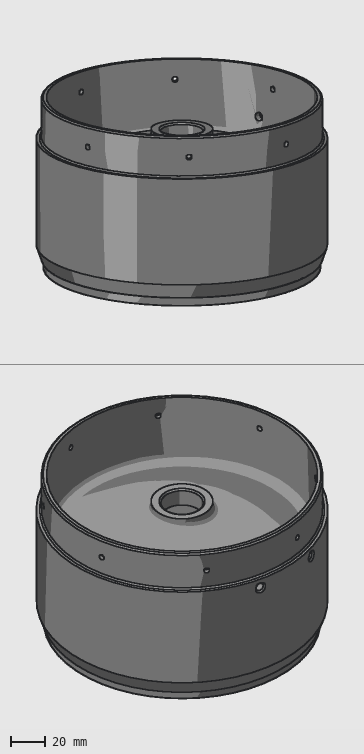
import cadquery as cq
import math

height = 103.0
outer_radius = 85.0
inner_radius = 158.0 / 2
edge_chamfer = 1.0

foot_radius = 162.0 / 2
foot_height = 5.1
taper_small_radius = 82.0
taper_top = 14.0
shoulder_height = 78.2
neck_radius = 164.0 / 2

dome_radius = 141.1
dome_apex = 78.2
dome_thickness = 5.0
blend_radius = 5.0
hub_radius = 36.0 / 2
hub_top = 83.8
bore_radius = 24.6 / 2

pin_hole_diameter = 3.2
pin_hole_count = 8
pin_hole_height = 90.6
port_diameter = 5.0
port_countersink_diameter = port_diameter + 2 * edge_chamfer
port_height = 72.0
port_angles = (67.5, 97.5)

dome_center = dome_apex - dome_radius
underside_radius = dome_radius - dome_thickness


def sphere_height(radius, distance):
    """Height of a dome surface at a distance from the axis."""
    return dome_center + math.sqrt(radius**2 - distance**2)


def sphere_blend(center_distance):
    """Center height and sphere contact point of a blend arc resting on the dome."""
    reach = dome_radius + blend_radius
    center_height = sphere_height(reach, center_distance)
    ratio = dome_radius / reach
    contact = (center_distance * ratio, dome_center + (center_height - dome_center) * ratio)
    return center_height, contact


def arc_middle(center, start, end):
    """Middle point of the short blend arc between two points."""
    x = (start[0] + end[0]) / 2 - center[0]
    z = (start[1] + end[1]) / 2 - center[1]
    scale = blend_radius / math.hypot(x, z)
    return center[0] + x * scale, center[1] + z * scale


def make_body():
    """Revolve the wall, domed web and hub as one section."""
    rim_x = inner_radius - blend_radius
    rim_z, rim_contact = sphere_blend(rim_x)
    rim_start = (inner_radius, rim_z)
    rim_middle = arc_middle((rim_x, rim_z), rim_start, rim_contact)

    hub_x = hub_radius + blend_radius
    hub_z, hub_contact = sphere_blend(hub_x)
    hub_end = (hub_radius, hub_z)
    hub_middle = arc_middle((hub_x, hub_z), hub_contact, hub_end)

    middle = (inner_radius + bore_radius) / 2
    dome_middle = (middle, sphere_height(dome_radius, middle))
    under_middle = (middle, sphere_height(underside_radius, middle))
    under_end = (inner_radius, sphere_height(underside_radius, inner_radius))

    section = (
        cq.Workplane("XZ")
        .moveTo(inner_radius, 0)
        .lineTo(foot_radius, 0)
        .lineTo(foot_radius, foot_height)
        .lineTo(taper_small_radius, foot_height)
        .lineTo(outer_radius, taper_top)
        .lineTo(outer_radius, shoulder_height)
        .lineTo(neck_radius + edge_chamfer, shoulder_height)
        .lineTo(neck_radius, shoulder_height + edge_chamfer)
        .lineTo(neck_radius, height - edge_chamfer)
        .lineTo(neck_radius - edge_chamfer, height)
        .lineTo(inner_radius, height)
        .lineTo(*rim_start)
        .threePointArc(rim_middle, rim_contact)
        .threePointArc(dome_middle, hub_contact)
        .threePointArc(hub_middle, hub_end)
        .lineTo(hub_radius, hub_top)
        .lineTo(bore_radius + edge_chamfer, hub_top)
        .lineTo(bore_radius, hub_top - edge_chamfer)
        .lineTo(bore_radius, sphere_height(underside_radius, bore_radius))
        .threePointArc(under_middle, under_end)
        .close()
    )
    return section.revolve(360, (0, 0, 0), (0, 1, 0))


def radial_cutter(diameter, start_radius, z, angle):
    """Cylinder pointing outward from start_radius to beyond the wall."""
    length = 1.1 * outer_radius - start_radius
    cutter = cq.Workplane("YZ", origin=(start_radius, 0, z)).circle(diameter / 2).extrude(length)
    return cutter.rotate((0, 0, 0), (0, 0, 1), angle)


def port_countersink(angle):
    """45 degree cone that reaches the countersink diameter at the outer wall."""
    depth = port_countersink_diameter / 2
    cone = cq.Solid.makeCone(
        depth,
        0,
        depth,
        pnt=cq.Vector(outer_radius, 0, port_height),
        dir=cq.Vector(-1, 0, 0),
    )
    return cq.Workplane(obj=cone).rotate((0, 0, 0), (0, 0, 1), angle)


result = make_body()
hole_start = 0.9 * inner_radius

for index in range(pin_hole_count):
    pin_angle = index * 360 / pin_hole_count
    result = result.cut(radial_cutter(pin_hole_diameter, hole_start, pin_hole_height, pin_angle))

for port_angle in port_angles:
    result = result.cut(radial_cutter(port_diameter, hole_start, port_height, port_angle))
    result = result.cut(port_countersink(port_angle))